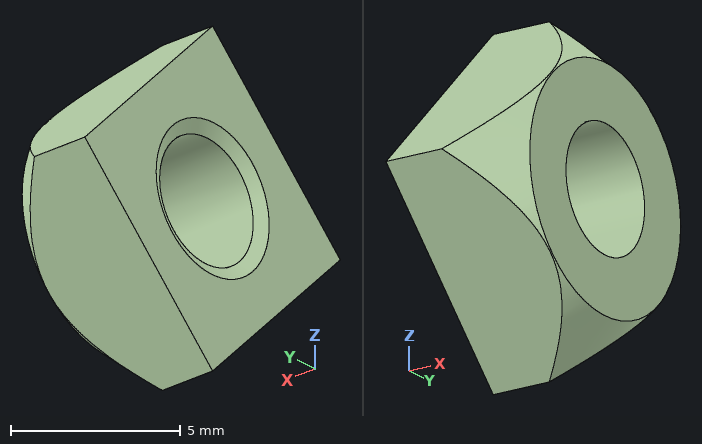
import cadquery as cq
import math

across_corners = 11.31
thickness = 4.0
hole_diameter = 4.14
countersink_diameter = 5.0
countersink_angle = 120.0
countersink_depth = (countersink_diameter - hole_diameter) / 2 / math.tan(math.radians(countersink_angle / 2))

corner_height = thickness / 2
crown_face_diameter = 7.95


def square_body():
    side = across_corners / math.sqrt(2)
    body = cq.Workplane("YZ").rect(side, side).extrude(thickness)
    return body.rotate((0, 0, 0), (1, 0, 0), 45)


def crown_envelope():
    """Cylinder around the corners with a conical end at the far face."""
    profile = [
        (0, 0),
        (0, across_corners / 2),
        (corner_height, across_corners / 2),
        (thickness, crown_face_diameter / 2),
        (thickness, 0),
    ]
    return cq.Workplane("XY").polyline(profile).close().revolve(360, (0, 0, 0), (1, 0, 0))


def countersunk_hole():
    """Through hole with a countersink at the flat face."""
    profile = [
        (0, 0),
        (0, countersink_diameter / 2),
        (countersink_depth, hole_diameter / 2),
        (thickness, hole_diameter / 2),
        (thickness, 0),
    ]
    return cq.Workplane("XY").polyline(profile).close().revolve(360, (0, 0, 0), (1, 0, 0))


result = square_body().intersect(crown_envelope()).cut(countersunk_hole())